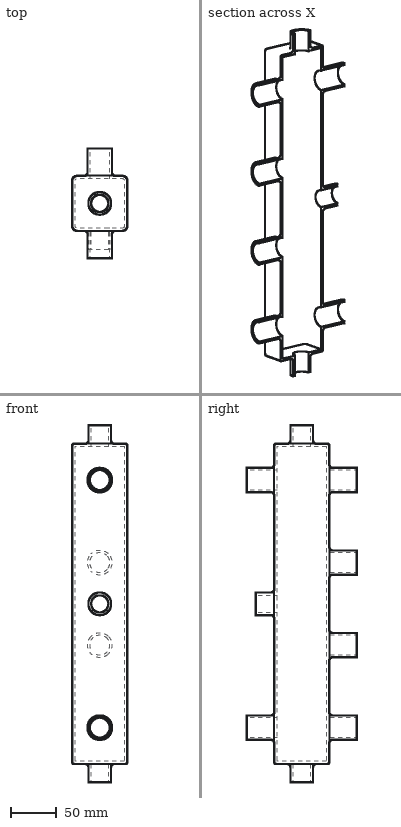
import cadquery as cq

body_width = 60.5
body_height = 350.0
wall = 3.0
corner_radius = 6.0
end_edge_radius = 2.5

overall_depth = 120.0
overall_height = 390

wide_outer_dia = 27.0
wide_bore_dia = 22.0
narrow_outer_dia = 25.0
narrow_bore_dia = 18.7
weld_radius = 3.0

rear_stub_count = 4
stub_pitch = 90.0

half_width = body_width / 2
half_height = body_height / 2
wide_length = overall_depth / 2 - half_width
narrow_length = (overall_height - body_height) / 2
rear_heights = [(i - (rear_stub_count - 1) / 2) * stub_pitch for i in range(rear_stub_count)]
front_heights = [rear_heights[0], rear_heights[-1]]

front = cq.Vector(0, -1, 0)
rear = cq.Vector(0, 1, 0)
up = cq.Vector(0, 0, 1)
down = cq.Vector(0, 0, -1)


def square_bar(width, height, vertical_radius):
    """Square bar centred on the origin with rounded vertical edges."""
    return cq.Workplane("XY").box(width, width, height).edges("|Z").fillet(vertical_radius)


def stub(root, direction, length, outer_dia):
    """Solid stub standing on a body face, with a concave weld fillet at its root."""
    radius = outer_dia / 2
    root_depth = wall / 2
    profile = (
        cq.Workplane("XY")
        .moveTo(0, -root_depth)
        .lineTo(radius + weld_radius, -root_depth)
        .lineTo(radius + weld_radius, 0)
        .radiusArc((radius, weld_radius), weld_radius)
        .lineTo(radius, length)
        .lineTo(0, length)
        .close()
    )
    upright = profile.revolve(360, (0, 0), (0, 1)).rotate((0, 0, 0), (1, 0, 0), 90)
    placement = cq.Plane(origin=root, xDir=(1, 0, 0), normal=direction)
    return upright.val().moved(cq.Location(placement))


def bore(root, direction, length, bore_dia):
    """Cylinder running from inside the wall out through the stub tip."""
    start = root - direction * (2 * wall)
    return cq.Solid.makeCylinder(bore_dia / 2, length + 2 * wall, start, direction)


wide_size = (wide_length, wide_outer_dia, wide_bore_dia)
narrow_size = (narrow_length, narrow_outer_dia, narrow_bore_dia)
stubs = [(cq.Vector(0, half_width, z), rear, *wide_size) for z in rear_heights]
stubs += [(cq.Vector(0, -half_width, z), front, *wide_size) for z in front_heights]
stubs += [
    (front * half_width, front, *narrow_size),
    (up * half_height, up, *narrow_size),
    (down * half_height, down, *narrow_size),
]

body = square_bar(body_width, body_height, corner_radius)
body = body.faces("<Z or >Z").edges().fillet(end_edge_radius)

for root, direction, length, outer_dia, _ in stubs:
    body = body.union(cq.Workplane(stub(root, direction, length, outer_dia)))

chamber = square_bar(body_width - 2 * wall, body_height - 2 * wall, corner_radius - wall)
body = body.cut(chamber)

for root, direction, length, _, bore_dia in stubs:
    body = body.cut(cq.Workplane(bore(root, direction, length, bore_dia)))

result = body